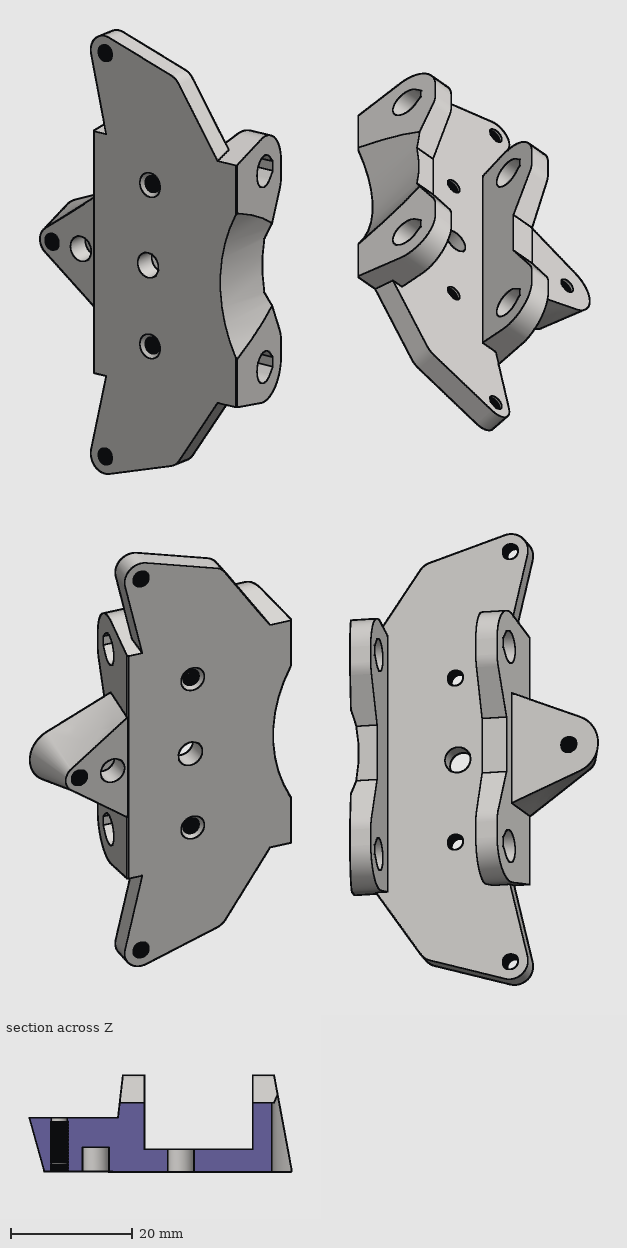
import cadquery as cq
import math


plate_thickness = 3.8
bevel_depth = 0.2
bevel_width = 0.2
body_half_height = 21.0
wing_left_root_x = -8.7
wing_right_root_x = 14.4
wing_hole_x = -8.9
wing_hole_z = 35.0
wing_tip_radius = 3.0
wing_shoulder_x = 5.76
wing_shoulder_z = 33.6
wing_shoulder_radius = 3.0

depth = 16.0
left_outer_front_x = -11.38
left_outer_back_x = -9.55
left_inner_x = -5.94
right_inner_x = 11.83
right_outer_front_x = 18.31
right_outer_back_x = 15.37
lobe_radius = 6.0
lobe_y = depth - lobe_radius
lobe_z = 17.0
saddle_y = 11.45
saddle_half_height = 4.65
lobe_corner_z = 13.2
lobe_corner_radius = 4.0

pivot_radius = 2.7
pivot_roof = 3.0

cutout_bottom_x = 14.95
cutout_radius = 25.5

hub_tip_x = -20.0
hub_front_radius = 2.5
hub_back_radius = 5.0
hub_front_y = 0.1
hub_back_y = 9.0
hub_root_half_height = 9.4
hub_embed_x = -8.0

screw_diameter = 2.6
screw_groove_diameter = 2.8
groove_pitch = 0.5
pin_diameter = 4.3
pin_pocket_x = -14.0
pin_pocket_depth = 4.0
plate_screw_x = 0.4
plate_screw_z = 14.0
countersink_diameter = 4.2
countersink_bottom_diameter = 2.7
countersink_depth = 0.6


def tangent_point(center, radius, point, side):
    """Touch point on a circle of the tangent from an outside point; side is +1 (CCW) or -1."""
    dx = point[0] - center[0]
    dy = point[1] - center[1]
    angle = math.atan2(dy, dx) + side * math.acos(radius / math.hypot(dx, dy))
    return (center[0] + radius * math.cos(angle), center[1] + radius * math.sin(angle))


def arc_middle(center, radius, start, end):
    """Point halfway along the shorter arc from start to end."""
    dx = start[0] + end[0] - 2 * center[0]
    dy = start[1] + end[1] - 2 * center[1]
    length = math.hypot(dx, dy)
    return (center[0] + radius * dx / length, center[1] + radius * dy / length)


def front_plane(y=0.0):
    """Sketch plane with local (x, y) = global (X, Z); extruding goes towards -Y."""
    return cq.Workplane("XZ", origin=(0, y, 0))


def rod(x, z, diameter, y_start, y_end):
    """Cylinder along Y."""
    return front_plane(y_end).center(x, z).circle(diameter / 2).extrude(y_end - y_start)


def mirrored(solid):
    """The solid together with its mirror image below z = 0."""
    return solid.union(solid.mirror("XY"))


def left_wall_x(y):
    """X of the tapered outer face of the left ear at depth y."""
    fraction = (y - bevel_depth) / (depth - bevel_depth)
    return left_outer_front_x + fraction * (left_outer_back_x - left_outer_front_x)


def make_wing():
    """Upper wing of the plate, with a round tip and a rounded shoulder."""
    tip = (wing_hole_x, wing_hole_z)
    left_root = (wing_left_root_x, body_half_height)
    shoulder = (wing_shoulder_x, wing_shoulder_z)
    tip_left = tangent_point(tip, wing_tip_radius, left_root, -1)
    tip_right = tangent_point(tip, wing_tip_radius, shoulder, 1)
    wing = (
        front_plane(plate_thickness)
        .moveTo(wing_left_root_x, 0)
        .lineTo(*left_root)
        .lineTo(*tip_left)
        .threePointArc(arc_middle(tip, wing_tip_radius, tip_left, tip_right), tip_right)
        .lineTo(*shoulder)
        .lineTo(wing_right_root_x, body_half_height)
        .lineTo(wing_right_root_x, 0)
        .close()
        .extrude(plate_thickness)
    )
    shoulder_edge = cq.selectors.NearestToPointSelector(
        (wing_shoulder_x, plate_thickness / 2, wing_shoulder_z)
    )
    return wing.edges(shoulder_edge).fillet(wing_shoulder_radius)


def make_ear_profile():
    """Upper half of the ear side outline, extruded across the width of the part."""
    lobe = (lobe_y, lobe_z)
    front_top = (0, body_half_height)
    lobe_top = tangent_point(lobe, lobe_radius, front_top, -1)
    lobe_back = (depth, lobe_z)
    width = right_outer_front_x - left_outer_front_x
    profile = (
        cq.Workplane("YZ", origin=(left_outer_front_x, 0, 0))
        .moveTo(0, 0)
        .lineTo(*front_top)
        .lineTo(*lobe_top)
        .threePointArc(arc_middle(lobe, lobe_radius, lobe_top, lobe_back), lobe_back)
        .lineTo(depth, lobe_corner_z)
        .lineTo(saddle_y, saddle_half_height)
        .lineTo(saddle_y, 0)
        .close()
        .extrude(width)
    )
    corner_edge = cq.selectors.NearestToPointSelector(
        (left_outer_front_x + width / 2, depth, lobe_corner_z)
    )
    return profile.edges(corner_edge).fillet(lobe_corner_radius)


def make_channel():
    """U-shaped cross-section: base plate with two tapered ears, bevelled at the front."""
    section = [
        (left_outer_front_x + bevel_width, 0),
        (left_outer_front_x, bevel_depth),
        (left_outer_back_x, depth),
        (left_inner_x, depth),
        (left_inner_x, plate_thickness),
        (right_inner_x, plate_thickness),
        (right_inner_x, depth),
        (right_outer_back_x, depth),
        (right_outer_front_x, bevel_depth),
        (right_outer_front_x - bevel_width, 0),
    ]
    half_length = lobe_z + lobe_radius
    return cq.Workplane("XY").polyline(section).close().extrude(half_length, both=True)


def make_pivot_hole():
    """Cutter for the upper pivot holes: a round bore with a flat-topped roof."""
    tangent = pivot_radius * math.sqrt(0.5)
    flat_half_width = pivot_radius * math.sqrt(2) - pivot_roof
    width = right_outer_front_x - left_outer_front_x
    return (
        cq.Workplane("YZ", origin=(left_outer_front_x, lobe_y, lobe_z))
        .moveTo(tangent, tangent)
        .threePointArc((-pivot_radius, 0), (tangent, -tangent))
        .lineTo(pivot_roof, -flat_half_width)
        .lineTo(pivot_roof, flat_half_width)
        .close()
        .extrude(width)
    )


def hub_outline(y, tip_radius):
    """Closed hub outline at depth y: round tip with straight flanks to the ear wall."""
    tip = (hub_tip_x, 0)
    root_x = left_wall_x(y)
    upper = tangent_point(tip, tip_radius, (root_x, hub_root_half_height), 1)
    lower = (upper[0], -upper[1])
    return (
        front_plane(y)
        .moveTo(hub_embed_x, hub_root_half_height)
        .lineTo(root_x, hub_root_half_height)
        .lineTo(*upper)
        .threePointArc((hub_tip_x - tip_radius, 0), lower)
        .lineTo(root_x, -hub_root_half_height)
        .lineTo(hub_embed_x, -hub_root_half_height)
        .close()
        .val()
    )


def make_hub():
    """Hub nose blended straight from its small front outline to its large back one."""
    front = hub_outline(hub_front_y, hub_front_radius)
    back = hub_outline(hub_back_y, hub_back_radius)
    return cq.Workplane(cq.Solid.makeLoft([front, back], True))


def make_screw_hole(x, z, y_start, y_end):
    """Cutter for a through screw hole with evenly spaced ring grooves."""
    hole = rod(x, z, screw_diameter, y_start, y_end)
    groove_width = groove_pitch / 2
    for index in range(int((y_end - y_start) / groove_pitch)):
        y = y_start + index * groove_pitch
        hole = hole.union(rod(x, z, screw_groove_diameter, y, y + groove_width))
    return hole


def make_countersink(x, z):
    """Conical recess at the front face."""
    return (
        front_plane()
        .center(x, z)
        .circle(countersink_diameter / 2)
        .workplane(offset=-countersink_depth)
        .circle(countersink_bottom_diameter / 2)
        .loft(ruled=True)
    )


ears = make_channel().intersect(mirrored(make_ear_profile()))
ears = ears.cut(mirrored(make_pivot_hole()))

result = ears.union(mirrored(make_wing())).union(make_hub())

result = result.cut(rod(cutout_bottom_x + cutout_radius, 0, 2 * cutout_radius, 0, depth))
result = result.cut(rod(0, 0, pin_diameter, 0, plate_thickness))
result = result.cut(
    rod(pin_pocket_x, 0, pin_diameter, hub_front_y, hub_front_y + pin_pocket_depth)
)
result = result.cut(make_screw_hole(hub_tip_x, 0, hub_front_y, hub_back_y))

for side in (1, -1):
    result = result.cut(make_screw_hole(wing_hole_x, side * wing_hole_z, 0, plate_thickness))
    result = result.cut(
        make_screw_hole(plate_screw_x, side * plate_screw_z, 0, plate_thickness)
    )
    result = result.cut(make_countersink(plate_screw_x, side * plate_screw_z))